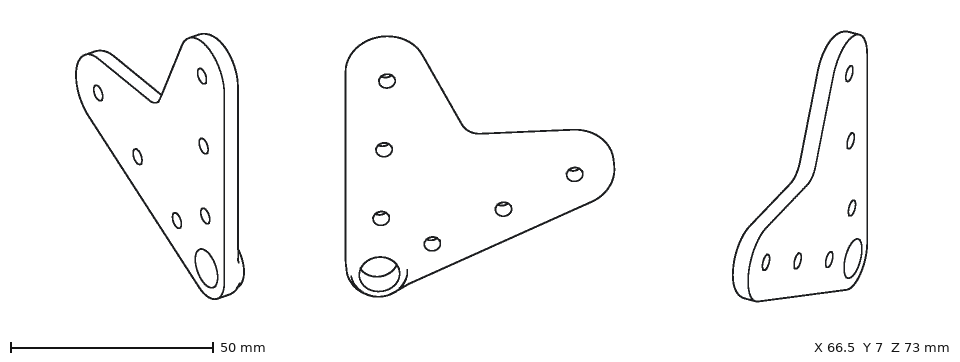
import cadquery as cq
import math


plate_thickness = 5.0
plate_edge_radius = 2.0
inner_corner_radius = 5.0
inner_corner_distance = 42.0

arm_length = 55.0
arm_end_radius = 10.0
pivot_end_radius = 8.0
side_arm_reach = 48.5
upright_arm_offset = arm_end_radius - pivot_end_radius

arm_hole_diameter = 4.0
arm_hole_distances = (15.0, 35.0, arm_length)
pivot_bore_diameter = 10.0

boss_radius = 7.0
boss_height = 2.0
boss_rim_radius = 1.0
boss_foot_radius = 0.99
overall_thickness = plate_thickness + boss_height
box_margin = 0.01

upright_arm_angle = math.pi - math.acos(upright_arm_offset / arm_length)
side_arm_angle = math.pi - math.acos(side_arm_reach / arm_length)
inner_corner_angle = (upright_arm_angle + side_arm_angle) / 2


def polar_point(distance, angle):
    return distance * math.cos(angle), distance * math.sin(angle)


pivot = (0.0, 0.0)
upright_end = polar_point(arm_length, upright_arm_angle)
side_end = polar_point(arm_length, side_arm_angle)
inner_corner = polar_point(inner_corner_distance, inner_corner_angle)


def tangent_normal(start, start_radius, end, end_radius):
    """Unit normal, to the right of travel, of the line tangent to two circles."""
    dx = end[0] - start[0]
    dz = end[1] - start[1]
    turn = math.acos((start_radius - end_radius) / math.hypot(dx, dz))
    normal_angle = math.atan2(dz, dx) - turn
    return math.cos(normal_angle), math.sin(normal_angle)


def point_on_circle(center, radius, direction):
    length = math.hypot(*direction)
    return (
        center[0] + radius * direction[0] / length,
        center[1] + radius * direction[1] / length,
    )


def rounded_end(outline, center, radius, normal_in, normal_out):
    """Run straight to a rounded end, then round it to its other tangent point."""
    middle = (normal_in[0] + normal_out[0], normal_in[1] + normal_out[1])
    return outline.lineTo(*point_on_circle(center, radius, normal_in)).threePointArc(
        point_on_circle(center, radius, middle),
        point_on_circle(center, radius, normal_out),
    )


def make_plate():
    outer_upright = tangent_normal(pivot, pivot_end_radius, upright_end, arm_end_radius)
    inner_upright = tangent_normal(upright_end, arm_end_radius, inner_corner, 0)
    inner_side = tangent_normal(inner_corner, 0, side_end, arm_end_radius)
    outer_side = tangent_normal(side_end, arm_end_radius, pivot, pivot_end_radius)

    pivot_middle = (outer_side[0] + outer_upright[0], outer_side[1] + outer_upright[1])
    pivot_start = point_on_circle(pivot, pivot_end_radius, outer_upright)

    outline = cq.Workplane("XZ").moveTo(*pivot_start)
    outline = rounded_end(outline, upright_end, arm_end_radius, outer_upright, inner_upright)
    outline = outline.lineTo(*inner_corner)
    outline = rounded_end(outline, side_end, arm_end_radius, inner_side, outer_side)
    outline = outline.lineTo(*point_on_circle(pivot, pivot_end_radius, outer_side))
    outline = outline.threePointArc(
        point_on_circle(pivot, pivot_end_radius, pivot_middle), pivot_start
    )
    plate = outline.close().extrude(-plate_thickness)

    corner_point = (inner_corner[0], plate_thickness / 2, inner_corner[1])
    corner_edge = cq.selectors.NearestToPointSelector(corner_point)
    return plate.edges("|Y").edges(corner_edge).fillet(inner_corner_radius)


def add_boss(plate):
    """Pivot boss with a rounded foot and rim, on a plate with rounded top edges.

    The foot nearly fills the pivot end, so the plate's edge rounding runs out into it.
    """
    boss = cq.Workplane("XZ").circle(boss_radius).extrude(-overall_thickness)
    body = plate.union(boss)

    foot_reach = boss_radius + box_margin
    foot_edge = cq.selectors.BoxSelector(
        (-foot_reach, plate_thickness - box_margin, -foot_reach),
        (foot_reach, plate_thickness + box_margin, foot_reach),
        boundingbox=True,
    )
    body = body.edges(foot_edge).fillet(boss_foot_radius)

    plate_top = body.faces("|Y").faces(">Y[-2]")
    outer_edges = plate_top.val().outerWire().Edges()
    body = body.newObject(outer_edges).fillet(plate_edge_radius)
    return body.faces(">Y").edges().fillet(boss_rim_radius)


def cut_holes(body):
    hole_centers = [
        polar_point(distance, angle)
        for angle in (upright_arm_angle, side_arm_angle)
        for distance in arm_hole_distances
    ]
    arm_holes = (
        cq.Workplane("XZ")
        .pushPoints(hole_centers)
        .circle(arm_hole_diameter / 2)
        .extrude(-overall_thickness)
    )
    pivot_bore = cq.Workplane("XZ").circle(pivot_bore_diameter / 2).extrude(-overall_thickness)
    return body.cut(arm_holes).cut(pivot_bore)


result = cut_holes(add_boss(make_plate()))